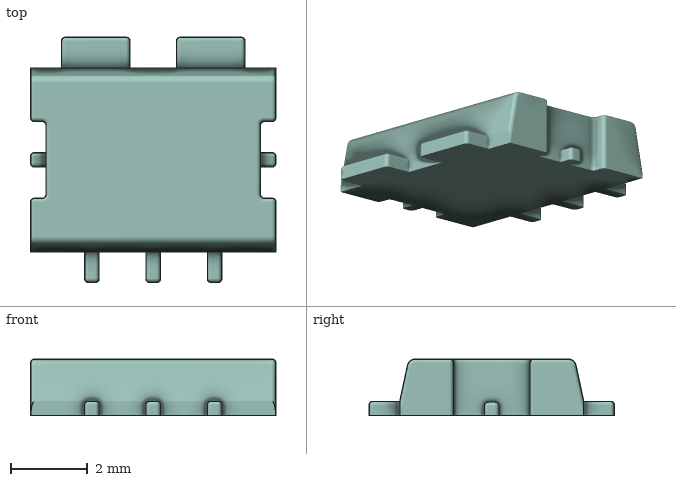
import cadquery as cq
import math

body_length = 6.4
body_width = 4.8
body_height = 1.475
skirt_height = 0.375
wall_draft = math.radians(12)
ridge_radius = 0.2
edge_radius = 0.1

notch_depth = 0.4
notch_width = 2.0

overall_width = 6.4
lead_height = skirt_height
lead_radius = 0.1
lead_embed = 0.2
pin_width = 0.38
pin_pitch = 1.6
pin_count = 3
tab_width = 1.79
tab_spacing = 3.0
side_pin_height = 0.35


def make_body():
    """Drafted block with notched ends and rounded edges, trimmed to an upright skirt."""
    half_base = body_width / 2 + skirt_height * math.tan(wall_draft)
    half_top = half_base - body_height * math.tan(wall_draft)
    block = (
        cq.Workplane("YZ")
        .polyline([(-half_base, 0), (half_base, 0), (half_top, body_height), (-half_top, body_height)])
        .close()
        .extrude(body_length / 2, both=True)
        .faces(">Z")
        .edges("|X")
        .fillet(ridge_radius)
    )
    notches = (
        cq.Workplane("XY")
        .pushPoints([(-body_length / 2, 0), (body_length / 2, 0)])
        .rect(2 * notch_depth, notch_width)
        .extrude(body_height)
    )
    block = block.cut(notches).edges("|Z").fillet(edge_radius)
    block = block.faces(">Z").edges("not |X").fillet(edge_radius)
    skirt_limits = cq.Workplane("XY").box(
        body_length, body_width, body_height, centered=(True, True, False)
    )
    return block.intersect(skirt_limits)


def make_lead(width, height, root, tip):
    """Lead centred on X = 0, running along +Y from root to tip."""
    return (
        cq.Workplane("XY")
        .box(width, tip - root, height, centered=(True, False, False))
        .translate((0, root, 0))
        .edges("(>Z and (not <Y)) or (|Z and >Y)")
        .fillet(lead_radius)
    )


lead_root = body_width / 2 - lead_embed
lead_tip = overall_width / 2

result = make_body()

tab = make_lead(tab_width, lead_height, lead_root, lead_tip)
for side in (-1, 1):
    result = result.union(tab.translate((side * tab_spacing / 2, 0, 0)))

front_pin = make_lead(pin_width, lead_height, lead_root, lead_tip).rotate((0, 0, 0), (0, 0, 1), 180)
for index in range(pin_count):
    pin_x = (index - (pin_count - 1) / 2) * pin_pitch
    result = result.union(front_pin.translate((pin_x, 0, 0)))

side_root = body_length / 2 - notch_depth - lead_embed
side_pin = make_lead(pin_width, side_pin_height, side_root, body_length / 2)
for angle in (-90, 90):
    result = result.union(side_pin.rotate((0, 0, 0), (0, 0, 1), angle))